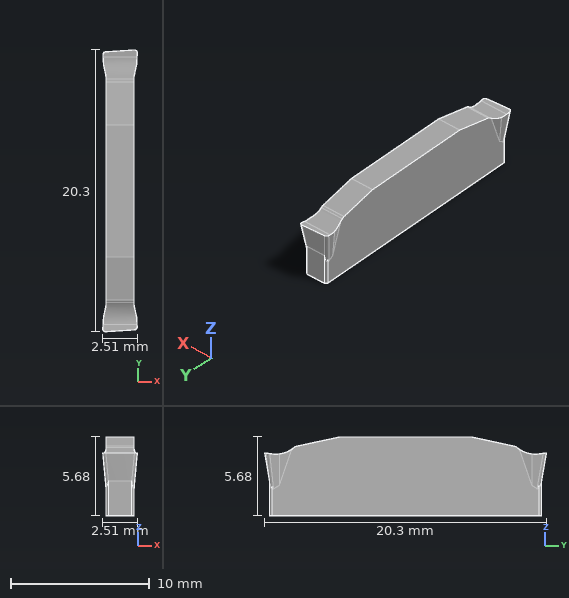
import cadquery as cq
import math

body_width = 2.03
body_length = 19.6
height = 5.68
corner_chamfer = 0.18

crown_half_length = 4.75
shoulder_y = 7.85
shoulder_z = 5.01
shoulder_end_y = 8.03
chip_radius = 2.03
chip_low_y = 9.33
chip_low_z = 4.45
land_start_y = 9.62

tip_width = 2.54
tip_half_width = tip_width / 2
tip_y = 10.17
tip_skew = 0.16
tip_z = 4.55
front_foot_z = 2.52
head_corner_radius = 0.22
side_lean = 0.083
back_taper = 0.055
neck_y = 9.1
neck_slope = 0.24
head_root_y = 7.71
head_bottom_z = 1.72
head_top_z = 5.07


def chip_groove_z(y):
    """Height of the chip groove arc at a given Y."""
    return chip_low_z + chip_radius - math.sqrt(chip_radius**2 - (y - chip_low_y) ** 2)


def make_body():
    body = cq.Workplane("XY").box(body_width, body_length, height, centered=(True, True, False))
    return body.edges("|Z").chamfer(corner_chamfer)


def head_section(z):
    """Corners of the -Y head at height z; the cutting edge leads on its -X side."""
    depth = tip_z - z
    end_y = body_length / 2
    rise = (z - front_foot_z) / (tip_z - front_foot_z)
    lead_y = end_y + (tip_y - end_y) * rise
    trail_y = end_y + (tip_y - tip_skew - end_y) * rise
    tip_x = tip_half_width - side_lean * depth
    neck_x = tip_x - back_taper * (tip_y - neck_y)
    root_x = neck_x - neck_slope * (neck_y - head_root_y)
    lead_x = tip_x + back_taper * (lead_y - tip_y)
    trail_x = tip_x + back_taper * (trail_y - tip_y)
    outline = [
        (-lead_x, -lead_y),
        (trail_x, -trail_y),
        (neck_x, -neck_y),
        (root_x, -head_root_y),
        (-root_x, -head_root_y),
        (-neck_x, -neck_y),
    ]
    return cq.Wire.makePolygon([cq.Vector(x, y, z) for x, y in outline], close=True)


def make_head():
    sections = [head_section(head_bottom_z), head_section(head_top_z)]
    head = cq.Workplane(cq.Solid.makeLoft(sections, True))
    front_corners = cq.selectors.BoxSelector(
        (-body_width, -body_length, 0), (body_width, -(neck_y + 0.2), height)
    )
    upright = [
        edge
        for edge in head.edges(front_corners).vals()
        if edge.BoundingBox().zlen > height / 4
    ]
    return head.newObject(upright).fillet(head_corner_radius)


def make_profile():
    """Side outline of the part, extruded well beyond both flanks."""
    groove_start = (shoulder_end_y, chip_groove_z(shoulder_end_y))
    land_start = (land_start_y, chip_groove_z(land_start_y))
    land_slope = (land_start_y - chip_low_y) / (chip_low_z + chip_radius - land_start[1])
    reach = tip_y + 0.2
    land_end = (reach, land_start[1] + land_slope * (reach - land_start_y))
    half = (
        cq.Workplane("YZ")
        .moveTo(0, 0)
        .lineTo(0, height)
        .lineTo(crown_half_length, height)
        .lineTo(shoulder_y, shoulder_z)
        .tangentArcPoint(groove_start, relative=False)
        .threePointArc((chip_low_y, chip_low_z), land_start)
        .lineTo(*land_end)
        .lineTo(reach, 0)
        .close()
        .extrude(body_width, both=True)
    )
    return half.union(half.mirror("XZ"))


head = make_head()
opposite_head = head.rotate((0, 0, 0), (0, 0, 1), 180)
result = make_body().union(head).union(opposite_head).intersect(make_profile())